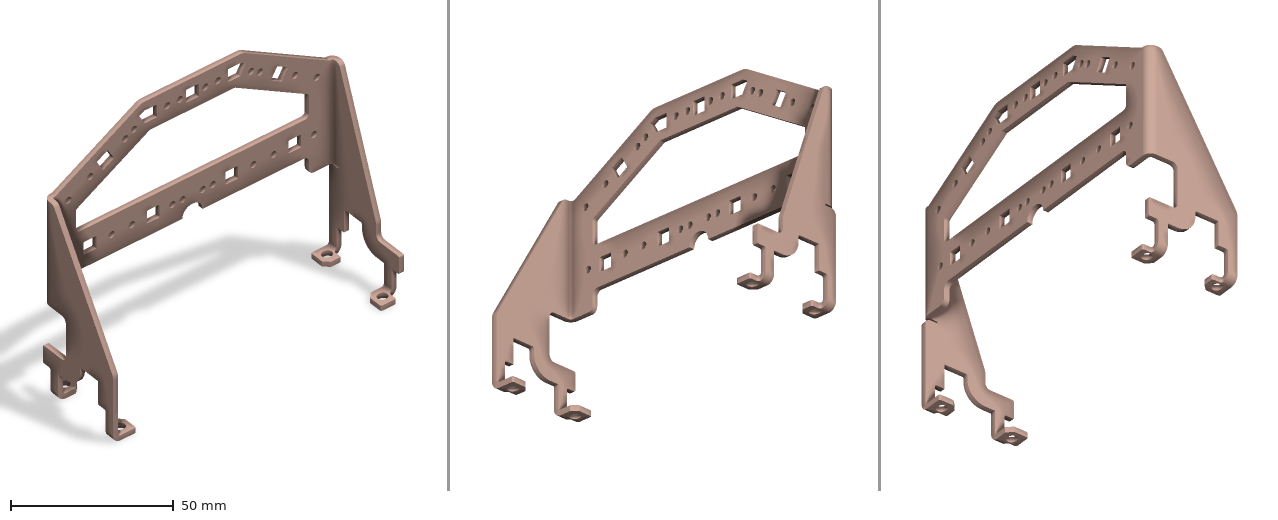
import cadquery as cq
import math

DEPTH = 34.4
WIDTH = 115.0
HEIGHT = 95.0
SHEET = 2.0
BEND_OUTER = 3.0
BEND_INNER = BEND_OUTER - SHEET
HALF_WIDTH = WIDTH / 2

SLOPE_ANGLE = math.radians(30)
SHOULDER_Z = 75.4
PANEL_BOTTOM_Z = 34.8
CROWN_HALF = 20.0
CROWN_RADIUS = 4.0
BEAM = 12.0
BEAM_CENTRE_Z = HEIGHT - BEAM / 2
LOWER_BEAM_TOP_Z = 57.0
LOWER_BEAM_BOTTOM_Z = 42.0
POST_INNER_Y = 46.0
POST_RADIUS = 2.0
WINDOW_LOWER_RADIUS = 1.5
WINDOW_UPPER_RADIUS = 1.0
EDGE_NOTCH_RADIUS = 4.0

HOLE_DIAMETER = 2.5
SQUARE = 5.0
SQUARE_RADIUS = 0.3
LOWER_ROW_Z = 49.5
LOWER_HOLE_Y = (4.0, 8.0, 24.0, 32.0, 48.0)
LOWER_SQUARE_Y = (15.5, 40.5)
CROWN_HOLE_Y = (5.0, 10.0)
SLOPE_HOLE_DISTANCES = (5.5, 9.5, 25.5, 35.5)
SLOPE_SQUARE_DISTANCE = 18.5
CORNER_OPENING_INNER_Y = 14.0
CORNER_OPENING_REACH = 2.3

WING_TOP_X = 5.0
WING_TOP_RADIUS = 2.0
WING_REAR_RADIUS = 4.0
WING_REAR_Z = 26.0
FAR_SLOPE_END_Z = 24.0
ARM_TOP_Z = 17.8
ARM_BOTTOM_Z = 10.9
ARM_NOTCH_X = 11.2
ARM_TIP_RADIUS = 0.5
LEG_TOP_RADIUS = 0.8
NOTCH_UPPER_RADIUS = 2.0
NOTCH_LOWER_RADIUS = 2.0
ARCH_RADIUS = ARM_TOP_Z - ARM_BOTTOM_Z
ARCH_TOP_Z = 20.0
ARCH_CORNER_RADIUS = 0.6
RELIEF_X = 4.7
RELIEF_BOTTOM_Z = 34.2
RELIEF_CORNER_RADIUS = 2.0

FOOT_WIDTH = 7.4
LEG_WIDTH = FOOT_WIDTH / 2
FOOT_LENGTH = 9.1
FOOT_START = 3.1
FOOT_CHAMFER = 2.0
FOOT_RADIUS = 0.6
LEG_FOOT_RADIUS = 1.0
SLOT_WIDTH = 3.3
SLOT_LENGTH = 3.8
SLOT_FROM_SIDE = 3.6
SLOT_FROM_FACE = 5.6


def round_corners(solid, axis, radius, corners):
    """Round the edges parallel to an axis that pass through the given points."""
    for corner in corners:
        nearest = cq.selectors.NearestToPointSelector(corner)
        solid = solid.edges("|" + axis).edges(nearest).fillet(radius)
    return solid


def panel_sheet(points):
    """Sheet in the plane of the panel with the given YZ outline."""
    return cq.Workplane("YZ").polyline(points).close().extrude(SHEET)


def panel_corners(y, z):
    """Mid-thickness points of a mirrored pair of panel corners."""
    return [(SHEET / 2, side * y, z) for side in (-1, 1)]


def slope_point(distance):
    """Point on the centre line of the sloped beam, measured from its bend."""
    bend_y = CROWN_HALF - BEAM / 2 * math.tan(SLOPE_ANGLE / 2)
    y = bend_y + distance * math.cos(SLOPE_ANGLE)
    z = BEAM_CENTRE_Z - distance * math.sin(SLOPE_ANGLE)
    return y, z


def make_window():
    """Opening between the top beam, the lower beam and the end posts."""
    top_z = HEIGHT - BEAM
    top_y = CROWN_HALF - BEAM * math.tan(SLOPE_ANGLE / 2)
    side_z = top_z - (POST_INNER_Y - top_y) * math.tan(SLOPE_ANGLE)
    window = panel_sheet([
        (-POST_INNER_Y, LOWER_BEAM_TOP_Z), (POST_INNER_Y, LOWER_BEAM_TOP_Z), (POST_INNER_Y, side_z),
        (top_y, top_z), (-top_y, top_z), (-POST_INNER_Y, side_z),
    ])
    window = round_corners(window, "X", WINDOW_LOWER_RADIUS, panel_corners(POST_INNER_Y, LOWER_BEAM_TOP_Z))
    return round_corners(window, "X", WINDOW_UPPER_RADIUS, panel_corners(POST_INNER_Y, side_z))


def make_square(y, z, tilt=0):
    square = cq.Workplane("XY").box(SHEET, SQUARE, SQUARE).edges("|X").fillet(SQUARE_RADIUS)
    return square.rotate((0, 0, 0), (1, 0, 0), tilt).translate((SHEET / 2, y, z))


def make_corner_opening():
    """Five-sided opening where the level beam meets the sloped beam (+Y side)."""
    top_z = BEAM_CENTRE_Z + SQUARE / 2
    bottom_z = BEAM_CENTRE_Z - SQUARE / 2
    peak_y = CROWN_HALF - (HEIGHT - top_z) * math.tan(SLOPE_ANGLE / 2)
    tip_y = peak_y + CORNER_OPENING_REACH * math.cos(SLOPE_ANGLE)
    tip_z = top_z - CORNER_OPENING_REACH * math.sin(SLOPE_ANGLE)
    lower_y = tip_y - (tip_z - bottom_z) * math.tan(SLOPE_ANGLE)
    return panel_sheet([
        (CORNER_OPENING_INNER_Y, bottom_z), (lower_y, bottom_z), (tip_y, tip_z),
        (peak_y, top_z), (CORNER_OPENING_INNER_Y, top_z),
    ])


def make_panel_holes():
    points = [(y, LOWER_ROW_Z) for y in LOWER_HOLE_Y]
    points += [(y, BEAM_CENTRE_Z) for y in CROWN_HOLE_Y]
    points += [slope_point(distance) for distance in SLOPE_HOLE_DISTANCES]
    holes = cq.Workplane("YZ").pushPoints(points).circle(HOLE_DIAMETER / 2).extrude(SHEET)
    for y in LOWER_SQUARE_Y:
        holes = holes.add(make_square(y, LOWER_ROW_Z))
    slope_y, slope_z = slope_point(SLOPE_SQUARE_DISTANCE)
    holes = holes.add(make_square(slope_y, slope_z, -math.degrees(SLOPE_ANGLE)))
    holes = holes.add(make_corner_opening()).combine()
    return holes.union(holes.mirror("XZ")).union(make_square(0, BEAM_CENTRE_Z))


def make_panel():
    slope_end_y = CROWN_HALF + (HEIGHT - SHOULDER_Z) / math.tan(SLOPE_ANGLE)
    half = [
        (CROWN_HALF, HEIGHT), (slope_end_y, SHOULDER_Z), (HALF_WIDTH, SHOULDER_Z),
        (HALF_WIDTH, PANEL_BOTTOM_Z), (POST_INNER_Y, PANEL_BOTTOM_Z), (POST_INNER_Y, LOWER_BEAM_BOTTOM_Z),
    ]
    other_half = [(-y, z) for y, z in reversed(half)]
    panel = panel_sheet(half + other_half)
    panel = round_corners(panel, "X", CROWN_RADIUS, panel_corners(CROWN_HALF, HEIGHT))
    for z in (PANEL_BOTTOM_Z, LOWER_BEAM_BOTTOM_Z):
        panel = round_corners(panel, "X", POST_RADIUS, panel_corners(POST_INNER_Y, z))
    edge_notch = (
        cq.Workplane("YZ")
        .center(0, LOWER_BEAM_BOTTOM_Z)
        .circle(EDGE_NOTCH_RADIUS)
        .extrude(SHEET)
    )
    return panel.cut(edge_notch).cut(make_window()).cut(make_panel_holes())


def wing_sheet(points):
    """Sheet on the -Y side with the given XZ outline."""
    sheet = cq.Workplane("XZ", origin=(0, SHEET - HALF_WIDTH, 0))
    return sheet.polyline(points).close().extrude(SHEET)


def wing_corner(x, z):
    return [(x, SHEET / 2 - HALF_WIDTH, z)]


def make_foot_bend(x, width):
    """Quarter bend between a leg and its foot, from x over the given width."""
    return (
        cq.Workplane("YZ", origin=(x, -HALF_WIDTH, 0))
        .moveTo(0, BEND_OUTER)
        .radiusArc((BEND_OUTER, 0), -BEND_OUTER)
        .lineTo(FOOT_START, 0)
        .lineTo(FOOT_START, SHEET)
        .lineTo(BEND_OUTER, SHEET)
        .radiusArc((SHEET, BEND_OUTER), BEND_INNER)
        .close()
        .extrude(width)
    )


def make_leg_foot_corner(leg_x):
    """Hollow corner fill on the lower X side of a leg, where its bend meets the foot edge."""
    start_y = FOOT_START - HALF_WIDTH
    fill = (
        cq.Workplane("XY")
        .moveTo(leg_x, start_y)
        .lineTo(leg_x, start_y - LEG_FOOT_RADIUS)
        .radiusArc((leg_x - LEG_FOOT_RADIUS, start_y), -LEG_FOOT_RADIUS)
        .close()
        .extrude(BEND_OUTER)
    )
    return fill.intersect(make_foot_bend(leg_x - LEG_FOOT_RADIUS, LEG_FOOT_RADIUS))


def make_foot(side_x, inward, leg_x):
    """Foot on the -Y side: the leg's bend, then a plate with a slot.

    side_x is the outer side of the foot, inward the X direction towards the
    other foot and leg_x the lower X side of the leg.
    """
    start_y = FOOT_START - HALF_WIDTH
    end_y = FOOT_LENGTH - HALF_WIDTH
    inner_x = side_x + inward * FOOT_WIDTH
    plate = (
        cq.Workplane("XY")
        .polyline([
            (side_x, start_y), (inner_x, start_y), (inner_x, end_y - FOOT_CHAMFER),
            (inner_x - inward * FOOT_CHAMFER, end_y), (side_x, end_y),
        ])
        .close()
        .extrude(SHEET)
    )
    free_x = min(side_x, inner_x)
    rounds = [(side_x, end_y, SHEET / 2), (free_x, start_y, SHEET / 2)]
    plate = round_corners(plate, "Z", FOOT_RADIUS, rounds)
    slot = (
        cq.Workplane("XY")
        .center(side_x + inward * SLOT_FROM_SIDE, SLOT_FROM_FACE - HALF_WIDTH)
        .slot2D(SLOT_LENGTH, SLOT_WIDTH, 90)
        .extrude(SHEET)
    )
    bend = make_foot_bend(leg_x, LEG_WIDTH)
    return plate.cut(slot).union(bend).union(make_leg_foot_corner(leg_x))


def arm_and_legs():
    """Lower outline of a wing, from the notch above the arm to the rear leg."""
    inner_leg_x = FOOT_WIDTH - LEG_WIDTH
    return [
        (ARM_NOTCH_X, ARM_TOP_Z), (0, ARM_TOP_Z), (0, ARM_BOTTOM_Z), (inner_leg_x, ARM_BOTTOM_Z),
        (inner_leg_x, BEND_OUTER), (FOOT_WIDTH, BEND_OUTER), (FOOT_WIDTH, ARM_BOTTOM_Z),
        (ARM_NOTCH_X + ARCH_RADIUS, ARM_BOTTOM_Z), (ARM_NOTCH_X + ARCH_RADIUS, ARCH_TOP_Z),
        (DEPTH - FOOT_WIDTH, ARCH_TOP_Z), (DEPTH - FOOT_WIDTH, ARM_BOTTOM_Z),
        (DEPTH - LEG_WIDTH, ARM_BOTTOM_Z), (DEPTH - LEG_WIDTH, BEND_OUTER), (DEPTH, BEND_OUTER),
    ]


def round_arm_and_legs(wing):
    arch_x = ARM_NOTCH_X + ARCH_RADIUS
    rounds = [
        (NOTCH_LOWER_RADIUS, ARM_NOTCH_X, ARM_TOP_Z),
        (ARM_TIP_RADIUS, 0, ARM_TOP_Z),
        (ARM_TIP_RADIUS, 0, ARM_BOTTOM_Z),
        (LEG_TOP_RADIUS, LEG_WIDTH, ARM_BOTTOM_Z),
        (LEG_TOP_RADIUS, DEPTH - LEG_WIDTH, ARM_BOTTOM_Z),
        (ARCH_RADIUS, arch_x, ARM_BOTTOM_Z),
        (ARCH_CORNER_RADIUS, arch_x, ARCH_TOP_Z),
    ]
    for radius, x, z in rounds:
        wing = round_corners(wing, "Y", radius, wing_corner(x, z))
    return wing


def add_feet(wing):
    arm_foot = make_foot(0, 1, FOOT_WIDTH - LEG_WIDTH)
    rear_foot = make_foot(DEPTH, -1, DEPTH - LEG_WIDTH)
    return wing.union(arm_foot).union(rear_foot)


def make_near_wing():
    """Wing on the -Y side, its arm pointing towards the panel."""
    wing = wing_sheet(
        [(0, SHOULDER_Z), (0, PANEL_BOTTOM_Z), (ARM_NOTCH_X, PANEL_BOTTOM_Z)]
        + arm_and_legs()
        + [(DEPTH, WING_REAR_Z), (WING_TOP_X, SHOULDER_Z)]
    )
    wing = round_arm_and_legs(wing)
    wing = round_corners(wing, "Y", NOTCH_UPPER_RADIUS, wing_corner(ARM_NOTCH_X, PANEL_BOTTOM_Z))
    wing = round_corners(wing, "Y", WING_REAR_RADIUS, wing_corner(DEPTH, WING_REAR_Z))
    wing = round_corners(wing, "Y", WING_TOP_RADIUS, wing_corner(WING_TOP_X, SHOULDER_Z))
    return add_feet(wing)


def make_far_wing():
    """Wing on the +Y side, its arm pointing away from the panel.

    It is built on the -Y side, then turned half a turn about Z.
    """
    relief_x = DEPTH - RELIEF_X
    top_x = DEPTH - WING_TOP_X
    wing = wing_sheet(
        arm_and_legs()
        + [
            (DEPTH, RELIEF_BOTTOM_Z), (relief_x, RELIEF_BOTTOM_Z), (relief_x, PANEL_BOTTOM_Z),
            (DEPTH, PANEL_BOTTOM_Z), (DEPTH, SHOULDER_Z), (top_x, SHOULDER_Z),
            (ARM_NOTCH_X, FAR_SLOPE_END_Z),
        ]
    )
    wing = round_arm_and_legs(wing)
    wing = round_corners(wing, "Y", RELIEF_CORNER_RADIUS, wing_corner(DEPTH, RELIEF_BOTTOM_Z))
    wing = round_corners(wing, "Y", WING_TOP_RADIUS, wing_corner(top_x, SHOULDER_Z))
    wing = round_corners(wing, "Y", WING_REAR_RADIUS, wing_corner(ARM_NOTCH_X, FAR_SLOPE_END_Z))
    return add_feet(wing).rotate((DEPTH / 2, 0, 0), (DEPTH / 2, 0, 1), 180)


def round_bends(bracket):
    """Round the two upright bends between the panel and the wings."""
    middle_z = (PANEL_BOTTOM_Z + SHOULDER_Z) / 2
    for side in (-1, 1):
        outer = (0, side * HALF_WIDTH, middle_z)
        inner = (SHEET, side * (HALF_WIDTH - SHEET), middle_z)
        bracket = round_corners(bracket, "Z", BEND_OUTER, [outer])
        bracket = round_corners(bracket, "Z", BEND_INNER, [inner])
    return bracket


result = round_bends(make_panel().union(make_near_wing()).union(make_far_wing()))